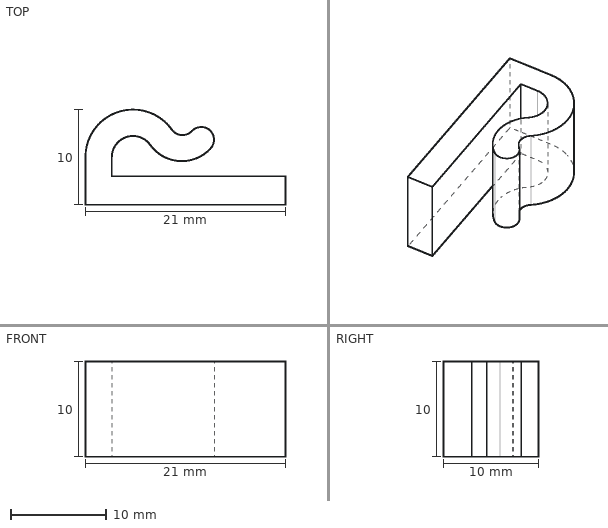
import cadquery as cq
import math

length = 21.0
height = 10.0
base_thickness = 3.0
hook_thickness = 2.8
hook_radius = 5.0
bend_outer_radius = 4.07
throat_radius = 1.36
tip_radius = 1.35
joint_angle = 35.4
tip_angle = -41.6

hook_inner_radius = hook_radius - hook_thickness
hook_center = (hook_radius, height - hook_radius)


def polar(center, radius, angle):
    """Point at a distance and an angle in degrees from a centre."""
    turn = math.radians(angle)
    return (center[0] + radius * math.cos(turn), center[1] + radius * math.sin(turn))


bend_center = polar(hook_center, hook_inner_radius + bend_outer_radius, joint_angle)
throat_center = polar(hook_center, hook_radius + throat_radius, joint_angle)
tip_center = polar(bend_center, bend_outer_radius - tip_radius, tip_angle)

throat_end = math.degrees(
    math.atan2(tip_center[1] - throat_center[1], tip_center[0] - throat_center[0])
)
bend_start = 180 + joint_angle
bend_middle = (bend_start + 360 + tip_angle) / 2
throat_middle = (bend_start + 360 + throat_end) / 2
curl_middle = bend_start / 2

profile = (
    cq.Workplane("XY")
    .moveTo(0, 0)
    .lineTo(length, 0)
    .lineTo(length, base_thickness)
    .lineTo(hook_thickness, base_thickness)
    .lineTo(hook_thickness, hook_center[1])
    .threePointArc(
        polar(hook_center, hook_inner_radius, curl_middle),
        polar(hook_center, hook_inner_radius, joint_angle),
    )
    .threePointArc(
        polar(bend_center, bend_outer_radius, bend_middle),
        polar(bend_center, bend_outer_radius, tip_angle),
    )
    .threePointArc(
        polar(tip_center, tip_radius, tip_angle + 90),
        polar(throat_center, throat_radius, throat_end),
    )
    .threePointArc(
        polar(throat_center, throat_radius, throat_middle),
        polar(throat_center, throat_radius, bend_start),
    )
    .threePointArc(
        polar(hook_center, hook_radius, curl_middle),
        (0, hook_center[1]),
    )
    .close()
)

result = profile.extrude(height)